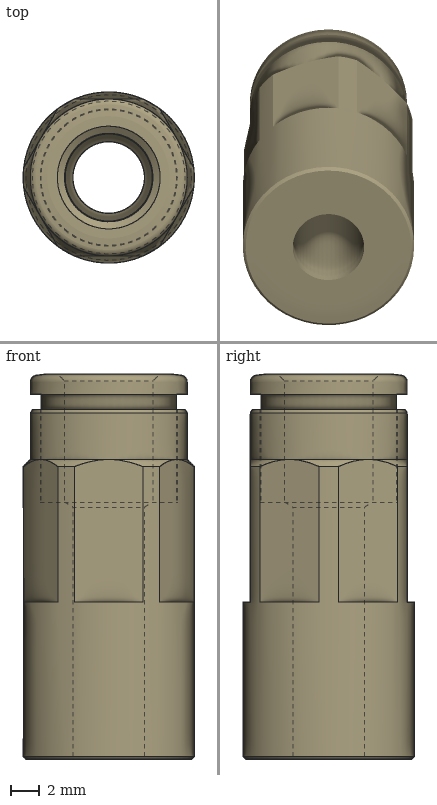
import cadquery as cq
import math

total_height = 27.0
hex_bottom = 11.0
hex_top = 21.0
housing_height = 24.5

body_diameter = 12.0
across_flats = 11.0
flat_count = 6
neck_diameter = 11.0
bottom_chamfer = 0.2
neck_chamfer_width = 0.15
neck_chamfer_height = 0.25

through_bore = 5.0
tube_bore = 6.1
tube_lead_in_depth = 0.35
collar_seat_diameter = 9.6
collar_seat_bottom = 18.0

collar_diameter = 9.5
rim_diameter = 11.0
rim_bottom = 25.55
rim_fillet_bottom = 26.4
rim_fillet_top = 26.9
rim_fillet_diameter = 10.2
top_land_diameter = 8.57
collar_bore = 6.2
mouth_diameter = 7.2
mouth_depth = 0.5


def make_housing():
    """Turned sleeve with a stepped bore and six wrench flats."""
    body_radius = body_diameter / 2
    neck_radius = neck_diameter / 2
    bore_radius = through_bore / 2
    seat_radius = collar_seat_diameter / 2
    shoulder_chamfer = body_radius - neck_radius
    sleeve = (
        cq.Workplane("XZ")
        .moveTo(bore_radius, 0)
        .lineTo(body_radius - bottom_chamfer, 0)
        .lineTo(body_radius, bottom_chamfer)
        .lineTo(body_radius, hex_top - shoulder_chamfer)
        .lineTo(neck_radius, hex_top)
        .lineTo(neck_radius, housing_height - neck_chamfer_height)
        .lineTo(neck_radius - neck_chamfer_width, housing_height)
        .lineTo(seat_radius, housing_height)
        .lineTo(seat_radius, collar_seat_bottom)
        .lineTo(tube_bore / 2, collar_seat_bottom)
        .lineTo(bore_radius, collar_seat_bottom - tube_lead_in_depth)
        .close()
        .revolve(360, (0, 0, 0), (0, 1, 0))
    )
    return sleeve.cut(make_flat_cutter())


def make_flat_cutter():
    """Ring with a hexagonal hole; two of the flats face +Y and -Y."""
    hex_corner_diameter = across_flats / math.cos(math.pi / flat_count)
    return (
        cq.Workplane("XY")
        .workplane(offset=hex_bottom)
        .circle(body_diameter)
        .polygon(flat_count, hex_corner_diameter)
        .extrude(hex_top - hex_bottom)
    )


def make_collar():
    """Release collar: a tube standing in the housing seat, with a rounded rim on top."""
    tube_radius = collar_diameter / 2
    bore_radius = collar_bore / 2
    rim_radius = rim_diameter / 2
    fillet_start = (rim_radius, rim_fillet_bottom)
    fillet_end = (rim_fillet_diameter / 2, rim_fillet_top)
    return (
        cq.Workplane("XZ")
        .moveTo(bore_radius, collar_seat_bottom)
        .lineTo(tube_radius, collar_seat_bottom)
        .lineTo(tube_radius, rim_bottom)
        .lineTo(rim_radius, rim_bottom)
        .lineTo(*fillet_start)
        .tangentArcPoint(fillet_end, relative=False)
        .lineTo(top_land_diameter / 2, total_height)
        .lineTo(mouth_diameter / 2, total_height)
        .lineTo(bore_radius, total_height - mouth_depth)
        .close()
        .revolve(360, (0, 0, 0), (0, 1, 0))
    )


housing = make_housing()
collar = make_collar()

result = cq.Compound.makeCompound([housing.val(), collar.val()])